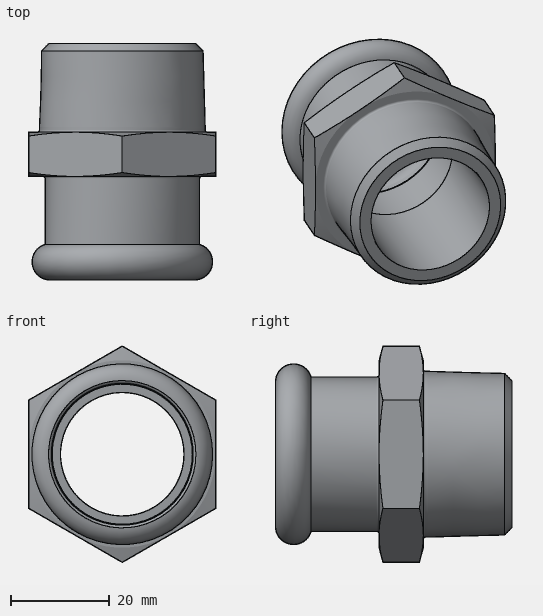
import cadquery as cq
import math

TOTAL_LENGTH = 48.0
HEX_FRONT = 21.0
HEX_REAR = 30.0
HEX_ACROSS_FLATS = 38.0
HEX_CHAMFER_ANGLE = 15.0

TUBE_RADIUS = 31.4 / 2
BEAD_OUTER_RADIUS = 18.35
BEAD_SECTION_RADIUS = 3.7
SEAL_RIDGE_WIDTH = 3.1
SEAL_RIDGE_HEIGHT = 0.2

LIP_RADIUS = 28.8 / 2
LIP_ROUND = 0.65
SOCKET_RADIUS = 28.4 / 2
SOCKET_STEP_START = 6.6
SOCKET_STEP_LENGTH = 0.6
SOCKET_DEPTH = HEX_FRONT
BORE_RADIUS = 25.0 / 2

THREAD_RADIUS = 33.7 / 2
THREAD_TIP_RADIUS = 16.4
THREAD_CHAMFER = 1.55
THREAD_COLLAR_LENGTH = 0.55
CORNER_FILLET = 0.45

BEAD_CENTRE_RADIUS = BEAD_OUTER_RADIUS - BEAD_SECTION_RADIUS
BEAD_CENTRE_Y = BEAD_SECTION_RADIUS


def fillet_midpoint(centre_radius, centre_y, y_direction):
    """Midpoint of a corner fillet arc whose centre lies outside the body."""
    reach = CORNER_FILLET * math.sqrt(0.5)
    return (centre_radius - reach, centre_y + y_direction * reach)


def revolve_profile(profile):
    return profile.close().revolve(360, (0, 0, 0), (0, 1, 0))


def make_press_tube():
    """Solid tube with a rounded bead at the open end and a fillet at the hexagon."""
    bead_rise = TUBE_RADIUS - BEAD_CENTRE_RADIUS
    bead_end = BEAD_CENTRE_Y + math.sqrt(BEAD_SECTION_RADIUS**2 - bead_rise**2)
    fillet_radius = TUBE_RADIUS + CORNER_FILLET
    fillet_y = HEX_FRONT - CORNER_FILLET
    return revolve_profile(
        cq.Workplane("XY")
        .lineTo(BEAD_CENTRE_RADIUS, 0)
        .threePointArc((BEAD_OUTER_RADIUS, BEAD_CENTRE_Y), (TUBE_RADIUS, bead_end))
        .lineTo(TUBE_RADIUS, fillet_y)
        .threePointArc(fillet_midpoint(fillet_radius, fillet_y, 1), (fillet_radius, HEX_FRONT))
        .lineTo(0, HEX_FRONT)
    )


def make_hexagon():
    """Hexagon with corners on the Z axis and both ends chamfered by a cone."""
    corner_radius = HEX_ACROSS_FLATS / math.sqrt(3)
    flat_radius = HEX_ACROSS_FLATS / 2
    drop = (corner_radius - flat_radius) * math.tan(math.radians(HEX_CHAMFER_ANGLE))
    corners = [
        (corner_radius * math.sin(math.radians(angle)), corner_radius * math.cos(math.radians(angle)))
        for angle in range(0, 360, 60)
    ]
    prism = (
        cq.Workplane("XZ", origin=(0, HEX_REAR, 0))
        .polyline(corners)
        .close()
        .extrude(HEX_REAR - HEX_FRONT)
    )
    chamfer_envelope = revolve_profile(
        cq.Workplane("XY")
        .moveTo(0, HEX_FRONT)
        .lineTo(flat_radius, HEX_FRONT)
        .lineTo(corner_radius, HEX_FRONT + drop)
        .lineTo(corner_radius, HEX_REAR - drop)
        .lineTo(flat_radius, HEX_REAR)
        .lineTo(0, HEX_REAR)
    )
    return prism.intersect(chamfer_envelope)


def make_thread_end():
    """Tapered plain body of the male thread, with a short collar filleted into the hexagon."""
    fillet_radius = THREAD_RADIUS + CORNER_FILLET
    fillet_y = HEX_REAR + CORNER_FILLET
    return revolve_profile(
        cq.Workplane("XY")
        .moveTo(0, HEX_REAR)
        .lineTo(fillet_radius, HEX_REAR)
        .threePointArc(fillet_midpoint(fillet_radius, fillet_y, -1), (THREAD_RADIUS, fillet_y))
        .lineTo(THREAD_RADIUS, fillet_y + THREAD_COLLAR_LENGTH)
        .lineTo(THREAD_TIP_RADIUS, TOTAL_LENGTH - THREAD_CHAMFER)
        .lineTo(THREAD_TIP_RADIUS - THREAD_CHAMFER, TOTAL_LENGTH)
        .lineTo(0, TOTAL_LENGTH)
    )


def make_bore():
    """Through bore, press socket, seal ridge bulging inward at the bead and rounded entry lip."""
    ridge_half_width = SEAL_RIDGE_WIDTH / 2
    ridge_crest = LIP_RADIUS - SEAL_RIDGE_HEIGHT
    round_offset = LIP_ROUND * (1 - math.sqrt(0.5))
    return revolve_profile(
        cq.Workplane("XY")
        .lineTo(LIP_RADIUS + LIP_ROUND, 0)
        .threePointArc((LIP_RADIUS + round_offset, round_offset), (LIP_RADIUS, LIP_ROUND))
        .lineTo(LIP_RADIUS, BEAD_CENTRE_Y - ridge_half_width)
        .threePointArc(
            (ridge_crest, BEAD_CENTRE_Y),
            (LIP_RADIUS, BEAD_CENTRE_Y + ridge_half_width),
        )
        .lineTo(LIP_RADIUS, SOCKET_STEP_START)
        .lineTo(SOCKET_RADIUS, SOCKET_STEP_START + SOCKET_STEP_LENGTH)
        .lineTo(SOCKET_RADIUS, SOCKET_DEPTH)
        .lineTo(BORE_RADIUS, SOCKET_DEPTH)
        .lineTo(BORE_RADIUS, TOTAL_LENGTH)
        .lineTo(0, TOTAL_LENGTH)
    )


result = make_press_tube().union(make_hexagon()).union(make_thread_end()).cut(make_bore())